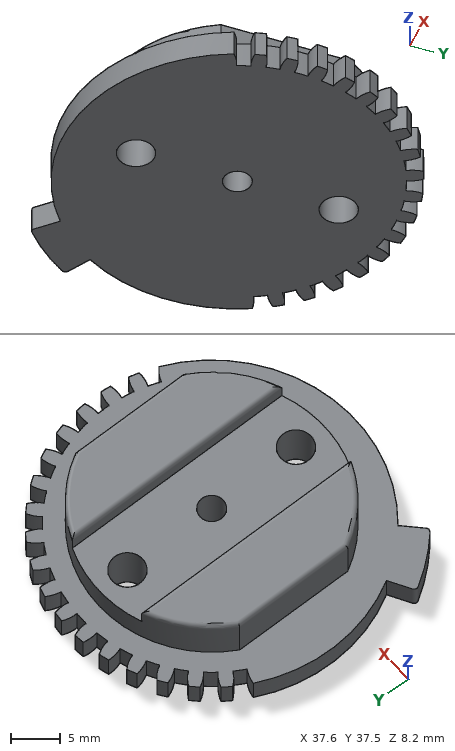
import cadquery as cq
import math

disc_radius = 18.75
disc_height = 3.0

root_radius = 17.02
flank_mid_radius = 17.9
tooth_pitch = 10
first_gap_angle = -20
last_gap_angle = 150
gap_half_width_root = 0.7
gap_half_width_mid = 0.8
gap_half_width_tip = 1.05

tab_radius = 22.0
tab_start_angle = 210
tab_end_angle_rim = 229.7
tab_end_angle_tip = 228.9
tab_corner_radius = 0.45

boss_radius = 14.75
boss_width = 25.85
slot_width = 10.9
slot_floor = 6.2
total_height = 8.2
edge_radius = 0.5

center_hole_diameter = 3.0
side_hole_diameter = 3.95
side_hole_offset = 11.0


def polar(radius, angle):
    """Point at the given radius and angle in degrees."""
    return (radius * math.cos(math.radians(angle)), radius * math.sin(math.radians(angle)))


def on_circle(radius, offset):
    """Point on a circle about the origin, at the given Y offset on its +X side."""
    return (math.sqrt(radius**2 - offset**2), offset)


def tab():
    """Stop tab with rounded outer corners, rooted inside the disc."""
    tab_middle_angle = (tab_start_angle + tab_end_angle_tip) / 2
    outer_face = cq.selectors.NearestToPointSelector((*polar(tab_radius, tab_middle_angle), disc_height / 2))
    return (
        cq.Workplane("XY")
        .moveTo(*polar(boss_radius, tab_start_angle))
        .lineTo(*polar(tab_radius, tab_start_angle))
        .threePointArc(polar(tab_radius, tab_middle_angle), polar(tab_radius, tab_end_angle_tip))
        .lineTo(*polar(disc_radius, tab_end_angle_rim))
        .lineTo(*polar(boss_radius, tab_end_angle_rim))
        .close()
        .extrude(disc_height)
        .faces(outer_face)
        .edges("|Z")
        .fillet(tab_corner_radius)
    )


def tooth_gap():
    """Cutter for one gap between teeth, centred on +X, with curved flanks."""
    root_x, root_y = on_circle(root_radius, gap_half_width_root)
    mid_x, mid_y = on_circle(flank_mid_radius, gap_half_width_mid)
    tip_x, tip_y = on_circle(disc_radius, gap_half_width_tip)
    return (
        cq.Workplane("XY")
        .moveTo(root_x, -root_y)
        .threePointArc((root_radius, 0), (root_x, root_y))
        .threePointArc((mid_x, mid_y), (tip_x, tip_y))
        .lineTo(tab_radius, tip_y)
        .lineTo(tab_radius, -tip_y)
        .lineTo(tip_x, -tip_y)
        .threePointArc((mid_x, -mid_y), (root_x, -root_y))
        .close()
        .extrude(disc_height)
    )


def boss():
    """Flat-sided boss carrying two round-edged pads either side of the slot."""
    boss_height = total_height - disc_height
    pad_height = total_height - slot_floor
    body = cq.Workplane("XY", origin=(0, 0, disc_height)).circle(boss_radius).extrude(boss_height)
    flats = cq.Workplane("XY").box(boss_width, 2 * boss_radius, total_height, centered=(True, True, False))
    slot = cq.Workplane("XY", origin=(0, 0, slot_floor)).box(
        slot_width, 2 * boss_radius, pad_height, centered=(True, True, False)
    )
    return body.intersect(flats).cut(slot).faces(">Z").edges().fillet(edge_radius)


def holes():
    """Cutters for the centre hole and the two side holes along Y."""
    side_hole_places = [(0, -side_hole_offset), (0, side_hole_offset)]
    center_hole = cq.Workplane("XY").circle(center_hole_diameter / 2).extrude(total_height)
    side_holes = (
        cq.Workplane("XY").pushPoints(side_hole_places).circle(side_hole_diameter / 2).extrude(total_height)
    )
    return center_hole.union(side_holes)


base = cq.Workplane("XY").circle(disc_radius).extrude(disc_height)
gap = tooth_gap()
for gap_angle in range(first_gap_angle, last_gap_angle + tooth_pitch, tooth_pitch):
    base = base.cut(gap.rotate((0, 0, 0), (0, 0, 1), gap_angle))

result = base.union(tab()).union(boss()).cut(holes())